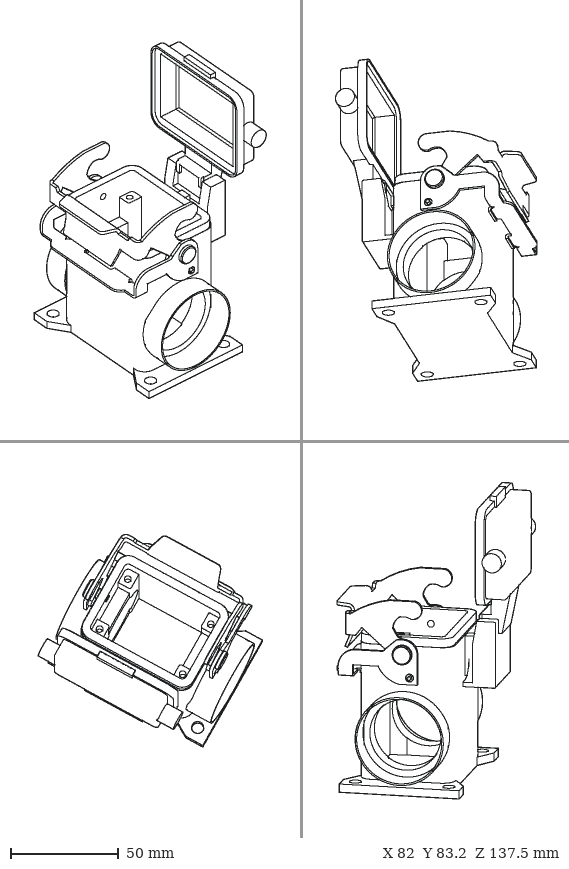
import cadquery as cq
import math

BASE_WIDTH = 82.0
BASE_DEPTH = 57.0
BASE_HEIGHT = 4.0
EAR_FLAT_X = 32.0
EAR_ROOT_X = 22.2
EAR_HOLE_DIAMETER = 5.6
EAR_HOLE_X = 34.8
EAR_HOLE_Y = 22.2

SHELL_WIDTH = 58.4
SHELL_FRONT_Y = -22.0
SHELL_BACK_Y = 22.6
SHELL_RADIUS = 6.0
RIM_WIDTH = 58.2
RIM_DEPTH = 43.8
RIM_BOTTOM_Z = 68.8
SHELL_TOP_Z = 73.0

POCKET_WIDTH = 50.3
POCKET_DEPTH = 35.8
POCKET_RADIUS = 2.0
LOWER_POCKET_WIDTH = 38.2
LEDGE_Z = 49.5

POST_INNER_X = 18.6
POST_INNER_Y = 9.9
POST_CORNER_RADIUS = 1.0
POST_TOP_Z = 60.8
POST_HOLE_DIAMETER = 3.1
POST_HOLE_DEPTH = 8.0
POST_HOLE_X = 22.0
POST_HOLE_Y = 13.5

TUBE_Z = 25.9
TUBE_RADIUS = 21.0
TUBE_BORE_RADIUS = 20.2
TUBE_PASSAGE_RADIUS = 16.9
TUBE_ROOT_X = 28.0

BRACKET_WIDTH = 30.6
BRACKET_BACK_Y = 40.0
BRACKET_FRONT_Y = 29.0
BRACKET_TOP_FRONT_Y = 31.0
BRACKET_BOTTOM_Z = 47.2
BRACKET_TOP_Z = 78.8
BRACKET_BACK_ROUND = 0.7
BRACKET_TAPER_Z = 67.8
FOOT_FRONT_Y = 24.4
STEM_WIDTH = 5.5
STEM_BOTTOM_Z = 49.3
STEM_TOP_Z = 68.3
STEM_FILLET = 8.1

TONGUE_WIDTH = 18.7
TONGUE_FRONT_Y = 36.5
TONGUE_PANEL_Y = 32.1
TONGUE_FLOOR_Z = 67.0
TONGUE_HEEL_Y = 41.7
TONGUE_HEEL_Z = 72.1
TONGUE_TOP_Y = 45.8
CLIP_TOP_Z = 80.8
CLIP_THICKNESS = 1.0
CLIP_FRONT_Y = 30.7
CLIP_HALF_WIDTH = 8.8
CLIP_LEG_WIDTH = 2.0
CLIP_LEG_BOTTOM_Z = 74.8
CLIP_BEND_RADIUS = 1.0

COVER_Z = 112.3
COVER_BACK_Y = 47.4
COVER_STEP_Y = 38.0
COVER_FRONT_Y = 33.8
COVER_WIDTH = 55.2
COVER_HEIGHT = 40.0
COVER_RADIUS = 3.0
COVER_BACK_ROUND = 1.0
FLANGE_WIDTH = 61.5
FLANGE_HEIGHT = 46.0
FLANGE_RADIUS = 6.1
FLANGE_LIP = 1.0
FLANGE_RECESS_Y = 35.6
CAVITY_WIDTH = 51.6
CAVITY_HEIGHT = 36.0
CAVITY_FLOOR_Y = 45.9
CAVITY_FLOOR_BEVEL = 1.0
TRUNNION_DIAMETER = 9.2
TRUNNION_SPAN = 71.6
TRUNNION_Y = 42.8
TAB_WIDTH = 18.7
TAB_BACK_Y = 39.0
TAB_FRONT_Y = 35.9
TAB_TOP_Z = 137.5

PIVOT_Z = 65.8
PIN_DIAMETER = 5.0
WALL_PIN_DIAMETER = 3.2
RIVET_DIAMETER = 9.1
RIVET_CHAMFER = 0.5
RIVET_OUTER_X = 36.2
HOOK_INNER_X = 30.6
HOOK_OUTER_X = 32.2
FRAME_INNER_X = 32.6
FRAME_OUTER_X = 34.2

HOOK_BACK_MIDDLE = (-17.3, 87.7)
HOOK_CREST_FRONT_Y = -6.5
HOOK_CREST_REAR_Y = 5.2
HOOK_CREST_Z = 90.8
HOOK_NOSE_TIP = (8.6, 87.0)
HOOK_NOSE_BOTTOM = (5.0, 82.3)
HOOK_THROAT_START = (3.8, 82.3)
HOOK_THROAT_TOP = (1.2, 83.3)
HOOK_THROAT_SHOULDER = (-1.6, 83.2)
HOOK_THROAT_SIDE = (-4.0, 81.0)
HOOK_THROAT_END = (-5.1, 77.6)
HOOK_NECK = (-2.9, 73.8)
HOOK_HUB_REAR = (5.0, 68.0)
HOOK_HUB_BOTTOM = (-1.2, 55.0)
HOOK_HUB_FRONT = (-8.8, 67.5)
HOOK_GAP_TOP = (-19.8, 77.2)
HOOK_GAP_FRONT_Y = -22.7

FRAME_REAR_Y = 7.0
FRAME_BOTTOM_Z = 51.5
FRAME_SLOPE_TOP = (-3.0, 72.5)
FRAME_SLOPE_BOTTOM = (-8.2, 68.0)
FRAME_SLOPE_BLEND = (-9.0, 67.1)
FRAME_ARM_REAR_Y = -10.3
FRAME_ARM_FRONT_Y = -22.3
FRAME_ARM_TOP_Z = 66.8
FRAME_ARM_BOTTOM_Z = 59.6
FRAME_SHOULDER_MIDDLE = (-28.0, 64.6)
FRAME_BELLY_FRONT_Y = -11.6
FRAME_BELLY_MIDDLE = (-7.6, 54.5)
FRAME_BELLY_REAR_Y = -1.6

STRAP_FRONT_Y = -28.0
STRAP_THICKNESS = 1.6
STRAP_BOTTOM_Z = 73.25
STRAP_TOP_Z = 83.4
STRAP_BEND_RADIUS = 2.8
STRAP_OVERLAP = 1.0
STRAP_NOTCH_Z = 81.4
STRAP_NOTCH_OUTER_X = 26.3
STRAP_NOTCH_SLANT = 1.2
HANDLE_ROOT_X = 18.4
HANDLE_TIP_X = 15.2
HANDLE_TIP_Y = -35.83
HANDLE_TOP_Z = 84.4
HANDLE_THICKNESS = 1.6
HANDLE_TIP_RADIUS = 2.5
HANDLE_BEND_RADIUS = 2.9
LIP_TOP_X = 19.3
LIP_TIP_X = 16.6
LIP_TIP_Y = -31.3
LIP_BEND_Z = 71.3
LIP_BEND_RADIUS = 2.5
LIP_TIP_Z = 63.8
LIP_THICKNESS = 1.3

SHELF_BOTTOM_Z = 53.8
SHELF_THICKNESS = 1.1
SHELF_BACK_Y = -23.7
SHELF_FRONT_Y = -30.6
SHELF_NOSE_Y = -34.2
SHELF_NOSE_ROOT_X = 26.0
SHELF_NOSE_TIP_X = 20.2
SHELF_NOSE_MIDDLE_X = 23.6
SHELF_NOSE_MIDDLE_Y = -33.3
SHELF_BEND_RADIUS = 2.2
SHELF_INNER_BEND_RADIUS = 0.9
SHELF_RELIEF_HALF_WIDTH = 9.7
SHELF_RELIEF_Y = -25.1
SHELF_RELIEF_RADIUS = 1.0
SHELF_TAB_OUTER_X = 21.2
SHELF_TAB_BACK_Y = -22.1
SHELF_TAB_BOTTOM_Z = 52.8
SHELF_TAB_BEND_RADIUS = 1.0
CORNER_RELIEF_WIDTH = 2.6

DIMPLE_Y = 3.3
DIMPLE_Z = 54.7
DIMPLE_DIAMETER = 3.6
DIMPLE_DEPTH = 1.0
NIB_DIAMETER = 1.7
NIB_OUTER_X = 35.1


def box(x0, x1, y0, y1, z0, z1):
    """Box between two opposite corners."""
    return cq.Workplane("XY").box(x1 - x0, y1 - y0, z1 - z0, centered=False).translate((x0, y0, z0))


def rod(diameter, x0, x1, y, z):
    """Round rod along X."""
    return cq.Workplane("YZ", origin=(x0, 0, 0)).center(y, z).circle(diameter / 2).extrude(x1 - x0)


def upright_block(width, y0, y1, z0, z1, radius):
    """Block with its four vertical corners rounded."""
    return box(-width / 2, width / 2, y0, y1, z0, z1).edges("|Z").fillet(radius)


def cover_block(width, height, y0, y1):
    """Block centred on the middle of the cover."""
    return box(-width / 2, width / 2, y0, y1, COVER_Z - height / 2, COVER_Z + height / 2)


def side_profile(points, half_width):
    """Polygon in the YZ plane, extruded equally to both sides."""
    return cq.Workplane("YZ").polyline(points).close().extrude(half_width, both=True)


def make_base():
    """Flat plate at each end of the shell, slanting in to the shell and drilled for screws."""
    half_width = BASE_WIDTH / 2
    half_depth = BASE_DEPTH / 2
    ear_pair = (
        cq.Workplane("XY")
        .moveTo(half_width, -half_depth)
        .lineTo(EAR_FLAT_X, -half_depth)
        .lineTo(EAR_ROOT_X, SHELL_FRONT_Y)
        .lineTo(EAR_ROOT_X, SHELL_BACK_Y)
        .lineTo(EAR_FLAT_X, half_depth)
        .lineTo(half_width, half_depth)
        .close()
        .extrude(BASE_HEIGHT)
    )
    holes = (
        cq.Workplane("XY")
        .rect(2 * EAR_HOLE_X, 2 * EAR_HOLE_Y, forConstruction=True)
        .vertices()
        .circle(EAR_HOLE_DIAMETER / 2)
        .extrude(BASE_HEIGHT)
    )
    return ear_pair.union(ear_pair.mirror("YZ")).cut(holes)


def make_interior():
    """Space inside the shell: a wide upper pocket, a narrow lower one and four screw posts left standing."""
    upper = upright_block(
        POCKET_WIDTH, -POCKET_DEPTH / 2, POCKET_DEPTH / 2, LEDGE_Z, SHELL_TOP_Z, POCKET_RADIUS
    )
    lower = box(
        -LOWER_POCKET_WIDTH / 2, LOWER_POCKET_WIDTH / 2,
        -POCKET_DEPTH / 2, POCKET_DEPTH / 2,
        BASE_HEIGHT, LEDGE_Z,
    )
    interior = upper.union(lower)
    for side in (-1, 1):
        for end in (-1, 1):
            post_x = sorted((side * POST_INNER_X, side * SHELL_WIDTH / 2))
            post_y = sorted((end * POST_INNER_Y, end * RIM_DEPTH / 2))
            post = box(*post_x, *post_y, BASE_HEIGHT, POST_TOP_Z)
            inner_corner = cq.Vector(side * POST_INNER_X, end * POST_INNER_Y, POST_TOP_Z / 2)
            post = post.edges("|Z").edges(cq.NearestToPointSelector(inner_corner)).fillet(POST_CORNER_RADIUS)
            interior = interior.cut(post)
    holes = (
        cq.Workplane("XY", origin=(0, 0, POST_TOP_Z - POST_HOLE_DEPTH))
        .rect(2 * POST_HOLE_X, 2 * POST_HOLE_Y, forConstruction=True)
        .vertices()
        .circle(POST_HOLE_DIAMETER / 2)
        .extrude(POST_HOLE_DEPTH)
    )
    return interior.union(holes)


def make_shell():
    """Open-topped shell on its base, with a cable tube at each end."""
    half_base = BASE_WIDTH / 2
    shell = upright_block(SHELL_WIDTH, SHELL_FRONT_Y, SHELL_BACK_Y, 0, RIM_BOTTOM_Z, SHELL_RADIUS)
    rim = upright_block(
        RIM_WIDTH, -RIM_DEPTH / 2, RIM_DEPTH / 2, RIM_BOTTOM_Z, SHELL_TOP_Z, SHELL_RADIUS
    )
    shell = shell.union(rim).union(make_base())
    for x0, x1 in ((-half_base, -TUBE_ROOT_X), (TUBE_ROOT_X, half_base)):
        shell = shell.union(rod(2 * TUBE_RADIUS, x0, x1, 0, TUBE_Z))
        shell = shell.cut(rod(2 * TUBE_BORE_RADIUS, x0, x1, 0, TUBE_Z))
    passage = rod(2 * TUBE_PASSAGE_RADIUS, -half_base, half_base, 0, TUBE_Z)
    return shell.cut(make_interior()).cut(passage)


def make_bracket():
    """Hinge bracket on a stem behind the shell, slotted at the top for the cover's tongue."""
    profile = [
        (BRACKET_BACK_Y, BRACKET_BOTTOM_Z),
        (FOOT_FRONT_Y, BRACKET_BOTTOM_Z),
        (FOOT_FRONT_Y, STEM_BOTTOM_Z),
        (BRACKET_FRONT_Y, STEM_BOTTOM_Z),
        (BRACKET_FRONT_Y, BRACKET_TAPER_Z),
        (BRACKET_TOP_FRONT_Y, BRACKET_TOP_Z),
        (BRACKET_BACK_Y, BRACKET_TOP_Z),
    ]
    bracket = side_profile(profile, BRACKET_WIDTH / 2)
    bracket = bracket.edges("|X and >Y").fillet(BRACKET_BACK_ROUND)
    slot = box(
        -TONGUE_WIDTH / 2, TONGUE_WIDTH / 2,
        FOOT_FRONT_Y, BRACKET_BACK_Y,
        TONGUE_FLOOR_Z, BRACKET_TOP_Z,
    )
    stem = box(
        -STEM_WIDTH / 2, STEM_WIDTH / 2,
        SHELL_BACK_Y, BRACKET_FRONT_Y,
        STEM_BOTTOM_Z, STEM_TOP_Z,
    )
    web_x = STEM_WIDTH / 2 + STEM_FILLET
    web_z = STEM_BOTTOM_Z + STEM_FILLET
    web = box(-web_x, web_x, FOOT_FRONT_Y, BRACKET_FRONT_Y, STEM_BOTTOM_Z, web_z)
    web_hollows = (
        cq.Workplane("XZ", origin=(0, BRACKET_FRONT_Y, 0))
        .pushPoints([(-web_x, web_z), (web_x, web_z)])
        .circle(STEM_FILLET)
        .extrude(BRACKET_FRONT_Y - FOOT_FRONT_Y)
    )
    return bracket.cut(slot).union(stem).union(web.cut(web_hollows))


def make_tongue():
    """Tongue joining the cover to the bracket, with a spring clip over its front."""
    cover_bottom = COVER_Z - COVER_HEIGHT / 2
    profile = [
        (TONGUE_PANEL_Y, TONGUE_FLOOR_Z),
        (TONGUE_PANEL_Y, CLIP_TOP_Z),
        (TONGUE_FRONT_Y, CLIP_TOP_Z),
        (TONGUE_FRONT_Y, cover_bottom),
        (TONGUE_TOP_Y, cover_bottom),
        (TONGUE_HEEL_Y, TONGUE_HEEL_Z),
        (BRACKET_BACK_Y, TONGUE_HEEL_Z),
        (BRACKET_BACK_Y, TONGUE_FLOOR_Z),
    ]
    clip = box(
        -CLIP_HALF_WIDTH, CLIP_HALF_WIDTH,
        CLIP_FRONT_Y, TONGUE_PANEL_Y,
        CLIP_LEG_BOTTOM_Z, CLIP_TOP_Z,
    )
    clip = clip.edges("|X and <Y and >Z").fillet(CLIP_BEND_RADIUS)
    leg_inner_x = CLIP_HALF_WIDTH - CLIP_LEG_WIDTH
    opening = box(
        -leg_inner_x, leg_inner_x,
        CLIP_FRONT_Y, TONGUE_PANEL_Y,
        CLIP_LEG_BOTTOM_Z, CLIP_TOP_Z - CLIP_THICKNESS,
    )
    return side_profile(profile, TONGUE_WIDTH / 2).union(clip.cut(opening))


def make_cover():
    """Raised cover: hollow box with a flange, two trunnions and a top tab."""
    back = cover_block(COVER_WIDTH, COVER_HEIGHT, COVER_STEP_Y, COVER_BACK_Y)
    back = back.edges("|Y").fillet(COVER_RADIUS).faces(">Y").edges().fillet(COVER_BACK_ROUND)
    flange = cover_block(FLANGE_WIDTH, FLANGE_HEIGHT, COVER_FRONT_Y, COVER_STEP_Y)
    flange = flange.edges("|Y").fillet(FLANGE_RADIUS)
    recess = cover_block(
        FLANGE_WIDTH - 2 * FLANGE_LIP, FLANGE_HEIGHT - 2 * FLANGE_LIP, COVER_FRONT_Y, FLANGE_RECESS_Y
    )
    recess = recess.edges("|Y").fillet(FLANGE_RADIUS - FLANGE_LIP)
    cavity = cover_block(CAVITY_WIDTH, CAVITY_HEIGHT, FLANGE_RECESS_Y, CAVITY_FLOOR_Y)
    cavity = cavity.faces(">Y").edges().chamfer(CAVITY_FLOOR_BEVEL)
    trunnions = rod(TRUNNION_DIAMETER, -TRUNNION_SPAN / 2, TRUNNION_SPAN / 2, TRUNNION_Y, COVER_Z)
    tab = box(
        -TAB_WIDTH / 2, TAB_WIDTH / 2,
        TAB_FRONT_Y, TAB_BACK_Y,
        COVER_Z + COVER_HEIGHT / 2 - COVER_BACK_ROUND, TAB_TOP_Z,
    )
    return back.union(flange).union(trunnions).union(tab).union(make_tongue()).cut(recess).cut(cavity)


def make_hook_plate():
    """Right-hand hook plate, which swings on the pivot and catches the cover's trunnion."""
    strap_y = STRAP_FRONT_Y + STRAP_BEND_RADIUS
    return (
        cq.Workplane("YZ", origin=(HOOK_INNER_X, 0, 0))
        .moveTo(strap_y, STRAP_TOP_Z)
        .threePointArc(HOOK_BACK_MIDDLE, (HOOK_CREST_FRONT_Y, HOOK_CREST_Z))
        .lineTo(HOOK_CREST_REAR_Y, HOOK_CREST_Z)
        .threePointArc(HOOK_NOSE_TIP, HOOK_NOSE_BOTTOM)
        .lineTo(*HOOK_THROAT_START)
        .threePointArc(HOOK_THROAT_TOP, HOOK_THROAT_SHOULDER)
        .threePointArc(HOOK_THROAT_SIDE, HOOK_THROAT_END)
        .lineTo(*HOOK_NECK)
        .lineTo(*HOOK_HUB_REAR)
        .threePointArc(HOOK_HUB_BOTTOM, HOOK_HUB_FRONT)
        .lineTo(*HOOK_GAP_TOP)
        .lineTo(HOOK_GAP_FRONT_Y, STRAP_BOTTOM_Z)
        .lineTo(strap_y, STRAP_BOTTOM_Z)
        .close()
        .extrude(HOOK_OUTER_X - HOOK_INNER_X)
    )


def make_frame_plate():
    """Right-hand side plate of the lower frame, with an arm reaching forward to the shelf."""
    plate = (
        cq.Workplane("YZ", origin=(FRAME_INNER_X, 0, 0))
        .moveTo(FRAME_REAR_Y, FRAME_BOTTOM_Z)
        .lineTo(FRAME_REAR_Y, PIVOT_Z)
        .threePointArc(
            (FRAME_REAR_Y * math.cos(math.pi / 4), PIVOT_Z + FRAME_REAR_Y * math.sin(math.pi / 4)),
            (0, PIVOT_Z + FRAME_REAR_Y),
        )
        .lineTo(*FRAME_SLOPE_TOP)
        .lineTo(*FRAME_SLOPE_BOTTOM)
        .threePointArc(FRAME_SLOPE_BLEND, (FRAME_ARM_REAR_Y, FRAME_ARM_TOP_Z))
        .lineTo(FRAME_ARM_FRONT_Y, FRAME_ARM_TOP_Z)
        .threePointArc(FRAME_SHOULDER_MIDDLE, (SHELF_FRONT_Y, FRAME_ARM_BOTTOM_Z))
        .lineTo(SHELF_FRONT_Y, SHELF_BOTTOM_Z)
        .lineTo(SHELF_BACK_Y, SHELF_BOTTOM_Z)
        .lineTo(SHELF_BACK_Y, FRAME_ARM_BOTTOM_Z)
        .lineTo(FRAME_BELLY_FRONT_Y, FRAME_ARM_BOTTOM_Z)
        .threePointArc(FRAME_BELLY_MIDDLE, (FRAME_BELLY_REAR_Y, FRAME_BOTTOM_Z))
        .close()
        .extrude(FRAME_OUTER_X - FRAME_INNER_X)
    )
    dimple = rod(DIMPLE_DIAMETER, FRAME_OUTER_X - DIMPLE_DEPTH, FRAME_OUTER_X, DIMPLE_Y, DIMPLE_Z)
    nib = rod(NIB_DIAMETER, FRAME_INNER_X, NIB_OUTER_X, DIMPLE_Y, DIMPLE_Z)
    return plate.cut(dimple).union(nib)


def make_wall_pin():
    """Right-hand pin end that fills the hole through the shell wall."""
    return rod(WALL_PIN_DIAMETER, POCKET_WIDTH / 2, SHELL_WIDTH / 2, 0, PIVOT_Z)


def make_pivot():
    """Right-hand pivot: a stepped pin carrying both plates, with a rivet head outside."""
    pin = rod(PIN_DIAMETER, SHELL_WIDTH / 2, FRAME_OUTER_X, 0, PIVOT_Z)
    head = rod(RIVET_DIAMETER, FRAME_OUTER_X, RIVET_OUTER_X, 0, PIVOT_Z)
    head = head.faces(">X").edges().chamfer(RIVET_CHAMFER)
    return make_wall_pin().union(pin).union(head)


def make_strap():
    """Cross strap between the hook plates, with a handle on top and a slanted lip below."""
    strap_back_y = STRAP_FRONT_Y + STRAP_THICKNESS
    strap_end_y = STRAP_FRONT_Y + STRAP_BEND_RADIUS + STRAP_OVERLAP
    strap = box(-HOOK_OUTER_X, HOOK_OUTER_X, STRAP_FRONT_Y, strap_end_y, STRAP_BOTTOM_Z, STRAP_TOP_Z)
    strap = strap.edges("|Z and <Y").fillet(STRAP_BEND_RADIUS)
    inside = box(-HOOK_INNER_X, HOOK_INNER_X, strap_back_y, strap_end_y, STRAP_BOTTOM_Z, STRAP_TOP_Z)
    inside = inside.edges("|Z and <Y").fillet(STRAP_BEND_RADIUS - STRAP_THICKNESS)
    notch = (
        cq.Workplane("XZ", origin=(0, strap_back_y, 0))
        .polyline([
            (-STRAP_NOTCH_OUTER_X, STRAP_TOP_Z),
            (-STRAP_NOTCH_OUTER_X + STRAP_NOTCH_SLANT, STRAP_NOTCH_Z),
            (STRAP_NOTCH_OUTER_X - STRAP_NOTCH_SLANT, STRAP_NOTCH_Z),
            (STRAP_NOTCH_OUTER_X, STRAP_TOP_Z),
        ])
        .close()
        .extrude(STRAP_THICKNESS)
    )
    return strap.cut(inside).cut(notch).union(make_handle()).union(make_lip())


def make_handle():
    """Finger plate bent forward from the top of the strap, narrowing to its tip."""
    strap_back_y = STRAP_FRONT_Y + STRAP_THICKNESS
    profile = [
        (strap_back_y, STRAP_NOTCH_Z),
        (strap_back_y, HANDLE_TOP_Z),
        (HANDLE_TIP_Y, HANDLE_TOP_Z),
        (HANDLE_TIP_Y, HANDLE_TOP_Z - HANDLE_THICKNESS),
        (STRAP_FRONT_Y, HANDLE_TOP_Z - HANDLE_THICKNESS),
        (STRAP_FRONT_Y, STRAP_NOTCH_Z),
    ]
    bent_plate = side_profile(profile, HANDLE_ROOT_X)
    inner_bend = cq.NearestToPointSelector((0, STRAP_FRONT_Y, HANDLE_TOP_Z - HANDLE_THICKNESS))
    bent_plate = bent_plate.edges("|X and >Y and >Z").fillet(HANDLE_BEND_RADIUS)
    bent_plate = bent_plate.edges(inner_bend).fillet(HANDLE_BEND_RADIUS - HANDLE_THICKNESS)
    outline = (
        cq.Workplane("XY", origin=(0, 0, STRAP_NOTCH_Z))
        .polyline([
            (-HANDLE_ROOT_X, strap_back_y),
            (-HANDLE_TIP_X, HANDLE_TIP_Y),
            (HANDLE_TIP_X, HANDLE_TIP_Y),
            (HANDLE_ROOT_X, strap_back_y),
        ])
        .close()
        .extrude(HANDLE_TOP_Z - STRAP_NOTCH_Z)
        .edges("|Z and <Y")
        .fillet(HANDLE_TIP_RADIUS)
    )
    return bent_plate.intersect(outline)


def make_lip():
    """Plate hanging from the strap and slanting forward, narrowing to its tip."""
    back_y = STRAP_FRONT_Y + STRAP_THICKNESS
    lip_angle = math.atan2(LIP_BEND_Z - LIP_TIP_Z, STRAP_FRONT_Y - LIP_TIP_Y)
    profile = [
        (back_y, STRAP_BOTTOM_Z),
        (back_y, LIP_BEND_Z),
        (
            LIP_TIP_Y + LIP_THICKNESS * math.sin(lip_angle),
            LIP_TIP_Z - LIP_THICKNESS * math.cos(lip_angle),
        ),
        (LIP_TIP_Y, LIP_TIP_Z),
        (STRAP_FRONT_Y, LIP_BEND_Z),
        (STRAP_FRONT_Y, STRAP_BOTTOM_Z),
    ]
    lowest_z = LIP_TIP_Z - LIP_THICKNESS
    outline = (
        cq.Workplane("XZ", origin=(0, back_y, 0))
        .polyline([
            (-LIP_TOP_X, STRAP_BOTTOM_Z),
            (-LIP_TIP_X, lowest_z),
            (LIP_TIP_X, lowest_z),
            (LIP_TOP_X, STRAP_BOTTOM_Z),
        ])
        .close()
        .extrude(back_y - LIP_TIP_Y)
    )
    bend = cq.NearestToPointSelector((0, STRAP_FRONT_Y, LIP_BEND_Z))
    return side_profile(profile, LIP_TOP_X).edges(bend).fillet(LIP_BEND_RADIUS).intersect(outline)


def make_shelf():
    """Horizontal plate across the front, bent up at both ends into the frame plates."""
    top_z = SHELF_BOTTOM_Z + SHELF_THICKNESS
    shelf = (
        cq.Workplane("XY", origin=(0, 0, SHELF_BOTTOM_Z))
        .moveTo(-FRAME_OUTER_X, SHELF_BACK_Y)
        .lineTo(-FRAME_OUTER_X, SHELF_FRONT_Y)
        .lineTo(-SHELF_NOSE_ROOT_X, SHELF_FRONT_Y)
        .threePointArc((-SHELF_NOSE_MIDDLE_X, SHELF_NOSE_MIDDLE_Y), (-SHELF_NOSE_TIP_X, SHELF_NOSE_Y))
        .lineTo(SHELF_NOSE_TIP_X, SHELF_NOSE_Y)
        .threePointArc((SHELF_NOSE_MIDDLE_X, SHELF_NOSE_MIDDLE_Y), (SHELF_NOSE_ROOT_X, SHELF_FRONT_Y))
        .lineTo(FRAME_OUTER_X, SHELF_FRONT_Y)
        .lineTo(FRAME_OUTER_X, SHELF_BACK_Y)
        .close()
        .extrude(SHELF_THICKNESS)
    )
    relief = box(
        -SHELF_RELIEF_HALF_WIDTH, SHELF_RELIEF_HALF_WIDTH,
        SHELF_RELIEF_Y, SHELF_BACK_Y,
        SHELF_BOTTOM_Z, top_z,
    )
    shelf = shelf.cut(relief.edges("|Z and <Y").fillet(SHELF_RELIEF_RADIUS))
    tab_drop_y = SHELF_TAB_BACK_Y - SHELF_THICKNESS
    for side in (-1, 1):
        tab_x = sorted((side * SHELF_RELIEF_HALF_WIDTH, side * SHELF_TAB_OUTER_X))
        tab = box(*tab_x, SHELF_BACK_Y, SHELF_TAB_BACK_Y, SHELF_BOTTOM_Z, top_z)
        tab = tab.union(box(*tab_x, tab_drop_y, SHELF_TAB_BACK_Y, SHELF_TAB_BOTTOM_Z, top_z))
        shelf = shelf.union(tab.edges("|X and >Y and >Z").fillet(SHELF_TAB_BEND_RADIUS))
        corner = (
            cq.Workplane("XY", origin=(0, 0, SHELF_BOTTOM_Z))
            .polyline([
                (side * SHELF_TAB_OUTER_X, SHELF_BACK_Y),
                (side * (SHELF_TAB_OUTER_X + CORNER_RELIEF_WIDTH), SHELF_BACK_Y),
                (side * (SHELF_TAB_OUTER_X + CORNER_RELIEF_WIDTH / 2), SHELF_RELIEF_Y),
            ])
            .close()
            .extrude(SHELF_THICKNESS)
        )
        shelf = shelf.cut(corner)
    return shelf


def shelf_bend_edges(x, z):
    """Selector for the two edges along Y, one on each side, where the shelf meets the frame plates."""
    middle_y = (SHELF_BACK_Y + SHELF_FRONT_Y) / 2
    right = cq.NearestToPointSelector((x, middle_y, z))
    left = cq.NearestToPointSelector((-x, middle_y, z))
    return right + left


def make_lever():
    """Locking lever: both sides with their pivots, joined by the strap and the shelf."""
    side = make_hook_plate().union(make_frame_plate()).union(make_pivot())
    lever = side.union(side.mirror("YZ")).union(make_strap()).union(make_shelf())
    lever = lever.edges(shelf_bend_edges(FRAME_OUTER_X, SHELF_BOTTOM_Z)).fillet(SHELF_BEND_RADIUS)
    inner_bends = shelf_bend_edges(FRAME_INNER_X, SHELF_BOTTOM_Z + SHELF_THICKNESS)
    return lever.edges(inner_bends).fillet(SHELF_INNER_BEND_RADIUS)


def make_housing():
    """Shell, hinge bracket and cover, with a hole through each side wall for the lever's pins."""
    pin = make_wall_pin()
    housing = make_shell().union(make_bracket()).union(make_cover())
    return housing.cut(pin).cut(pin.mirror("YZ"))


housing = make_housing()
lever = make_lever()
result = cq.Compound.makeCompound([housing.solids().val(), lever.solids().val()])